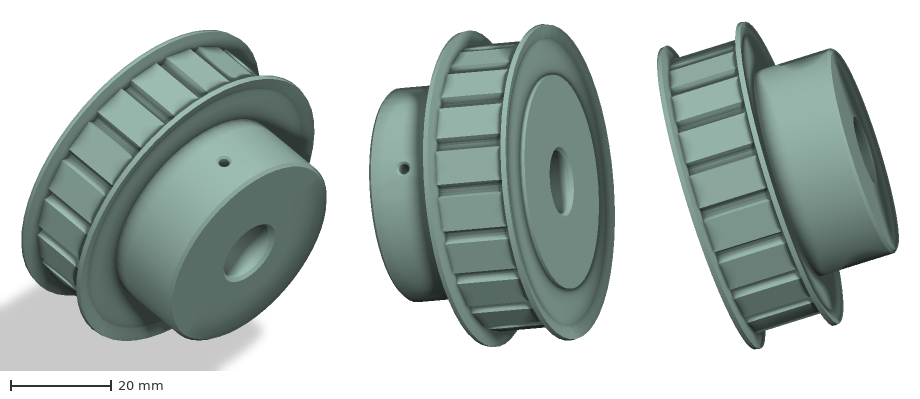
import cadquery as cq
import math

total_length = 33.35
hub_radius = 21.45
hub_chamfer = 0.65
bore_radius = 6.35
bore_chamfer = 0.65

flange_radius = 31.75
flange_thickness = 1.0
flange_bend_radius = 28.75
rim_setback = 0.65
rim_edge_drop = 0.2

boss_length = 0.3
belt_face_start = boss_length + flange_thickness + rim_setback
belt_face_width = 14.3
belt_face_end = belt_face_start + belt_face_width

tooth_count = 19
tooth_pitch_angle = 360 / tooth_count
tip_flat_height = 28.5
groove_mouth_height = 28.65
groove_mouth_half_width = 1.35
groove_depth = 1.65
groove_flank_angle = 23.0
groove_corner_chamfer = 0.25

screw_position = 25.85
screw_radius = 1.1
screw_chamfer = 0.45


def make_hub():
    """Full-length hub cylinder, chamfered at its +X end."""
    hub = cq.Workplane("YZ").circle(hub_radius).extrude(total_length)
    return hub.faces(">X").chamfer(hub_chamfer)


def make_groove():
    """Trapezoidal belt groove at the +Z side, with chamfered floor corners."""
    flank_run = groove_depth * math.tan(math.radians(groove_flank_angle))
    floor_height = groove_mouth_height - groove_depth
    floor_half_width = groove_mouth_half_width - flank_run
    top_height = groove_mouth_height + groove_depth
    top_half_width = groove_mouth_half_width + flank_run
    return (
        cq.Workplane("YZ")
        .workplane(offset=belt_face_start)
        .moveTo(-floor_half_width, floor_height)
        .lineTo(floor_half_width, floor_height)
        .lineTo(top_half_width, top_height)
        .lineTo(-top_half_width, top_height)
        .close()
        .extrude(belt_face_width)
        .faces("<Z")
        .edges("|X")
        .chamfer(groove_corner_chamfer)
    )


def make_toothed_ring():
    """Flat-tipped ring with one tooth centred on +Z and a groove at every polygon corner."""
    corner_radius = tip_flat_height / math.cos(math.pi / tooth_count)
    half_pitch_angle = tooth_pitch_angle / 2
    ring = (
        cq.Workplane("YZ")
        .workplane(offset=belt_face_start)
        .transformed(rotate=(0, 0, 90 + half_pitch_angle))
        .polygon(tooth_count, 2 * corner_radius)
        .extrude(belt_face_width)
    )
    groove = make_groove()
    for index in range(tooth_count):
        angle = half_pitch_angle + index * tooth_pitch_angle
        ring = ring.cut(groove.rotate((0, 0, 0), (1, 0, 0), angle))
    return ring


def make_flange(inner_face, outward):
    """Flange disc whose belt side lies at inner_face; outward is -1 or +1 along X."""
    outer_face = inner_face + outward * flange_thickness
    rim_inner = inner_face + outward * rim_setback
    rim_outer = rim_inner + outward * flange_thickness
    return (
        cq.Workplane("XZ")
        .moveTo(inner_face, 0)
        .lineTo(inner_face, flange_bend_radius)
        .lineTo(rim_inner, flange_radius)
        .lineTo(rim_outer, flange_radius - rim_edge_drop)
        .lineTo(outer_face, flange_bend_radius)
        .lineTo(outer_face, 0)
        .close()
        .revolve(360, (0, 0, 0), (1, 0, 0))
    )


def make_bore():
    """Through bore, chamfered at both ends."""
    mouth_radius = bore_radius + bore_chamfer
    return (
        cq.Workplane("XZ")
        .lineTo(0, mouth_radius)
        .lineTo(bore_chamfer, bore_radius)
        .lineTo(total_length - bore_chamfer, bore_radius)
        .lineTo(total_length, mouth_radius)
        .lineTo(total_length, 0)
        .close()
        .revolve(360, (0, 0, 0), (1, 0, 0))
    )


def make_screw_hole():
    """Radial hole from +Z into the bore, with a chamfered mouth."""
    mouth_radius = screw_radius + screw_chamfer
    return (
        cq.Workplane("XZ")
        .lineTo(screw_radius, 0)
        .lineTo(screw_radius, hub_radius - screw_chamfer)
        .lineTo(mouth_radius, hub_radius)
        .lineTo(0, hub_radius)
        .close()
        .revolve(360, (0, 0, 0), (0, 1, 0))
        .translate((screw_position, 0, 0))
    )


screw_hole = make_screw_hole()

result = (
    make_hub()
    .union(make_toothed_ring())
    .union(make_flange(belt_face_start, -1))
    .union(make_flange(belt_face_end, 1))
    .cut(make_bore())
    .cut(screw_hole)
    .cut(screw_hole.rotate((0, 0, 0), (1, 0, 0), -90))
)